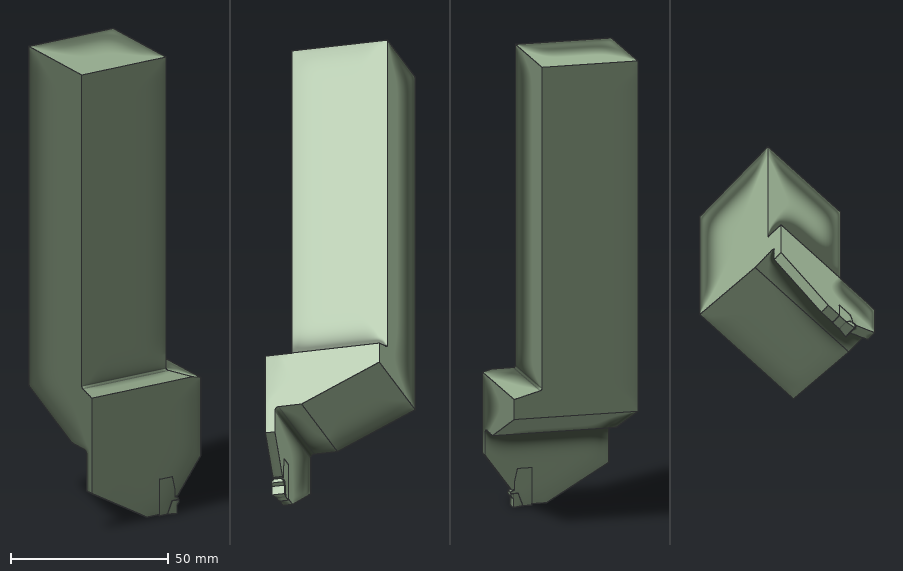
import cadquery as cq
import math

TOTAL_HEIGHT = 152.4

SHANK_SIDE = 31.7
HEAD_WIDTH = 37.8
HEAD_DEPTH = 40.8
SHOULDER_Z = 46.6
SHOULDER_ANGLE = 15.0
SHOULDER_FILLET = 0.8

SLOPE_TOP_Z = 37.6
SLOPE_END_X = 25.8
HEAD_BOTTOM_Z = 26.2
BLADE_THICKNESS = 3.2
BLADE_FILLET = 1.2
BLADE_X = HEAD_WIDTH - BLADE_THICKNESS

BLADE_BOTTOM_Z = 0.8
BLADE_HEEL_Z = 12.6
HEEL_ANGLE = 30.0
BLADE_FRONT_Z = 17.7
JAW_TIP_Y = 32.2
JAW_TIP_Z = 5.8

INSERT_BACK_Y = 25.5
INSERT_TOP_Y = 30.2
INSERT_TOP_Z = 12.6
JAW_INNER_Y = 31.2
JAW_INNER_Z = 5.6
GRIP_BEND_Z = 8.0
NOSE_Y = 32.5
NOSE_TOP_Z = 5.0
NOSE_BOTTOM_Z = 3.8
EDGE_Y = 31.7
EDGE_TOP_Z = 2.9
INSERT_BOTTOM_Z = 0.3
FLARE_BACK_Y = 28.3
FLARE_TOP_Y = 30.0
FLARE_TOP_Z = 4.5
FLARE_OVERHANG = 0.5


def extrude_along_x(points, start_x, width):
    """Extrude an outline of (y, z) points along X."""
    return cq.Workplane("YZ").workplane(offset=start_x).polyline(points).close().extrude(width)


def extrude_along_y(points):
    """Extrude an outline of (x, z) points over the full depth of the head."""
    return cq.Workplane("XZ").polyline(points).close().extrude(-HEAD_DEPTH)


def make_insert_body():
    """Part of the insert that is as thick as the blade."""
    outline = [
        (INSERT_BACK_Y, INSERT_BOTTOM_Z),
        (INSERT_BACK_Y, INSERT_TOP_Z),
        (INSERT_TOP_Y, INSERT_TOP_Z),
        (JAW_INNER_Y, GRIP_BEND_Z),
        (JAW_INNER_Y, JAW_INNER_Z),
        (NOSE_Y, NOSE_TOP_Z),
        (NOSE_Y, NOSE_BOTTOM_Z),
        (EDGE_Y, EDGE_TOP_Z),
        (EDGE_Y, 0),
        (FLARE_BACK_Y, INSERT_BOTTOM_Z),
    ]
    return extrude_along_x(outline, BLADE_X, BLADE_THICKNESS)


def make_cutting_head():
    """Wider front of the insert, which tapers back to the blade thickness behind the cutting edge."""
    outline = [
        (FLARE_BACK_Y, INSERT_BOTTOM_Z),
        (FLARE_TOP_Y, FLARE_TOP_Z),
        (NOSE_Y, FLARE_TOP_Z),
        (NOSE_Y, NOSE_BOTTOM_Z),
        (EDGE_Y, EDGE_TOP_Z),
        (EDGE_Y, 0),
    ]
    left_x = BLADE_X - FLARE_OVERHANG
    right_x = HEAD_WIDTH + FLARE_OVERHANG
    taper = (
        cq.Workplane("XY")
        .polyline([
            (BLADE_X, FLARE_BACK_Y),
            (left_x, EDGE_Y),
            (left_x, NOSE_Y),
            (right_x, NOSE_Y),
            (right_x, EDGE_Y),
            (HEAD_WIDTH, FLARE_BACK_Y),
        ])
        .close().extrude(FLARE_TOP_Z)
    )
    return extrude_along_x(outline, left_x, right_x - left_x).intersect(taper)


def make_upper_holder():
    """Shank with the head, whose top slopes away from the shank on two sides."""
    shoulder_slope = math.tan(math.radians(SHOULDER_ANGLE))
    side_drop = (HEAD_WIDTH - SHANK_SIDE) * shoulder_slope
    front_drop = (HEAD_DEPTH - SHANK_SIDE) * shoulder_slope
    side_limit = extrude_along_y([
        (0, 0),
        (HEAD_WIDTH, 0),
        (HEAD_WIDTH, SHOULDER_Z - side_drop),
        (SHANK_SIDE, SHOULDER_Z),
        (0, SHOULDER_Z),
    ])
    front_limit = extrude_along_x([
        (0, 0),
        (HEAD_DEPTH, 0),
        (HEAD_DEPTH, SHOULDER_Z - front_drop),
        (SHANK_SIDE, SHOULDER_Z),
        (0, SHOULDER_Z),
    ], 0, HEAD_WIDTH)
    shank_length = TOTAL_HEIGHT - HEAD_BOTTOM_Z
    shank = (
        cq.Workplane("XY").workplane(offset=HEAD_BOTTOM_Z)
        .rect(SHANK_SIDE, SHANK_SIDE, centered=False).extrude(shank_length)
    )
    holder = side_limit.intersect(front_limit).union(shank)
    shank_foot = cq.selectors.BoxSelector(
        (0, 0, SHOULDER_Z - SHOULDER_FILLET),
        (SHANK_SIDE + SHOULDER_FILLET, SHANK_SIDE + SHOULDER_FILLET, SHOULDER_Z + SHOULDER_FILLET),
    )
    return holder.edges(shank_foot).fillet(SHOULDER_FILLET)


def make_underside_cut():
    """Space below the head, beside the blade, rounded in the corner at the blade."""
    outline = [
        (0, 0),
        (BLADE_X, 0),
        (BLADE_X, HEAD_BOTTOM_Z),
        (SLOPE_END_X, HEAD_BOTTOM_Z),
        (0, SLOPE_TOP_Z),
    ]
    blade_corner = cq.selectors.NearestToPointSelector((BLADE_X, HEAD_DEPTH / 2, HEAD_BOTTOM_Z))
    return extrude_along_y(outline).edges(blade_corner).fillet(BLADE_FILLET)


def make_side_outline():
    """Outline of the holder in the YZ plane, with the tapered blade at its bottom."""
    heel_length = (BLADE_HEEL_Z - BLADE_BOTTOM_Z) / math.tan(math.radians(HEEL_ANGLE))
    return extrude_along_x([
        (0, TOTAL_HEIGHT),
        (0, BLADE_HEEL_Z),
        (heel_length, BLADE_BOTTOM_Z),
        (JAW_INNER_Y, BLADE_BOTTOM_Z),
        (JAW_INNER_Y, JAW_INNER_Z),
        (JAW_TIP_Y, JAW_TIP_Z),
        (HEAD_DEPTH, BLADE_FRONT_Z),
        (HEAD_DEPTH, TOTAL_HEIGHT),
    ], 0, HEAD_WIDTH)


def make_holder():
    holder = make_upper_holder().cut(make_underside_cut()).intersect(make_side_outline())
    return holder.cut(make_insert_body())


def make_insert():
    return make_insert_body().union(make_cutting_head())


holder = make_holder()
insert = make_insert()
result = cq.Compound.makeCompound([holder.solids().val(), insert.solids().val()])